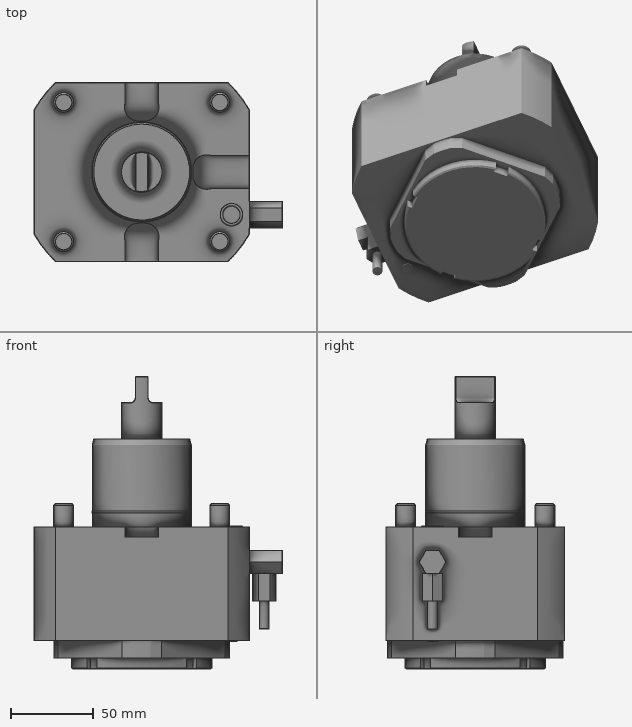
import cadquery as cq
import math


BLOCK_X = 129.9
BLOCK_Y = 108.0
BLOCK_HEIGHT = 68.7
BLOCK_CORNER_RADIUS = 75.0

BOSS_DIAMETER = 59.8
BOSS_HEIGHT = 53.1
BOSS_TAPER_HEIGHT = 3.7
BOSS_TAPER_ANGLE = 15
BOSS_RING_DIAMETER = 60.4
BOSS_RING_HEIGHT = 9.0
RING_SECTION = 1.7

SHAFT_DIAMETER = 24.5
SHAFT_SHOULDER = 75.0
TANG_TOP = 90.9
TANG_THICKNESS = 7.8
TANG_FILLET = 3.0
TANG_CHAMFER = 0.5

SLOT_WIDTH = 20.0
SLOT_DEPTH = 6.2
SLOT_INNER_END = 30.9
SLOT_CORNER_RADIUS = 8.3
SLOT_CORNER_OFFSET = 2.1
SLOT_ANGLES = (-90, 0, 90)

SCREW_DIAMETER = 12.0
SCREW_HEIGHT = 14.1
SCREW_CHAMFER = 1.0
SCREW_X = 47.1
SCREW_Y = 42.0

PORT_X = 54.2
PORT_Y = -25.8
PORT_RING_DIAMETER = 12.0
PORT_RING_RISE = 0.5
PLUG_DIAMETER = 6.4
PLUG_RISE = 0.5

LID_HEIGHT = 10.6
LID_RADIUS = 53.1
LID_FLAT_DISTANCE = 44.1
LID_TRIM_OUTER = 5.5
LID_TRIM_INNER = 12.0

NUT_DIAMETER = 85.0
OVERALL_HEIGHT = 176.5
NUT_BOTTOM = TANG_TOP - OVERALL_HEIGHT
NUT_CHAMFER_HEIGHT = 0.5
NUT_CHAMFER_WIDTH = 1.0
NOTCH_COUNT = 4
NOTCH_START_ANGLE = 45
NOTCH_WIDTH = 8.5
NOTCH_FLOOR = 39.5

FITTING_END_X = BLOCK_X / 2 + 20.0
FITTING_Z = -21.2
FITTING_FLATS = 14.0
UNION_X = 74.0
UNION_CORNERS = 14.1
UNION_LENGTH = 16.6
NOZZLE_DIAMETER = 6.0
NOZZLE_LENGTH = 16.8


def cylinder(diameter, bottom, top):
    """Upright cylinder on the Z axis between two heights."""
    return cq.Workplane("XY").workplane(offset=bottom).circle(diameter / 2).extrude(top - bottom)


def ring(centre_radius, section, height):
    """Round-section ring about the Z axis."""
    return cq.Workplane("XZ").center(centre_radius, height).circle(section / 2).revolve(
        360, (-centre_radius, 0, 0), (-centre_radius, 1, 0)
    )


def make_block():
    """Rectangular block with its corners turned to a common radius."""
    block = cq.Workplane("XY").rect(BLOCK_X, BLOCK_Y).extrude(-BLOCK_HEIGHT)
    return block.intersect(cylinder(2 * BLOCK_CORNER_RADIUS, -BLOCK_HEIGHT, 0))


def make_slot():
    """Cutter for one key slot, open on the +X side, with relieved inner corners."""
    corner_x = SLOT_INNER_END + SLOT_CORNER_RADIUS
    outer_end = BLOCK_X / 2
    channel = (
        cq.Workplane("XY")
        .center((corner_x + outer_end) / 2, 0)
        .rect(outer_end - corner_x, SLOT_WIDTH)
        .extrude(-SLOT_DEPTH)
    )
    end_wall = (
        cq.Workplane("XY")
        .center(SLOT_INNER_END + SLOT_CORNER_RADIUS / 2, 0)
        .rect(SLOT_CORNER_RADIUS, 2 * SLOT_CORNER_OFFSET)
        .extrude(-SLOT_DEPTH)
    )
    corners = (
        cq.Workplane("XY")
        .pushPoints([(corner_x, -SLOT_CORNER_OFFSET), (corner_x, SLOT_CORNER_OFFSET)])
        .circle(SLOT_CORNER_RADIUS)
        .extrude(-SLOT_DEPTH)
    )
    return channel.union(end_wall).union(corners)


def make_boss():
    """Centring boss with a tapered top and a slightly raised sealing ring."""
    taper_width = BOSS_TAPER_HEIGHT * math.tan(math.radians(BOSS_TAPER_ANGLE))
    boss = cylinder(BOSS_DIAMETER, 0, BOSS_HEIGHT)
    boss = boss.faces(">Z").chamfer(BOSS_TAPER_HEIGHT, taper_width)
    return boss.union(ring((BOSS_RING_DIAMETER - RING_SECTION) / 2, RING_SECTION, BOSS_RING_HEIGHT))


def make_shaft():
    """Drive shaft whose end is cut to a flat tang with filleted roots."""
    shaft = cylinder(SHAFT_DIAMETER, BOSS_HEIGHT, TANG_TOP)
    half_tang = TANG_THICKNESS / 2
    side_cut = (
        cq.Workplane("XZ")
        .moveTo(SHAFT_DIAMETER, SHAFT_SHOULDER)
        .lineTo(half_tang + TANG_FILLET, SHAFT_SHOULDER)
        .radiusArc((half_tang, SHAFT_SHOULDER + TANG_FILLET), TANG_FILLET)
        .lineTo(half_tang, TANG_TOP)
        .lineTo(SHAFT_DIAMETER, TANG_TOP)
        .close()
        .extrude(SHAFT_DIAMETER / 2, both=True)
    )
    shaft = shaft.cut(side_cut).cut(side_cut.mirror("YZ"))
    return shaft.faces(">Z").chamfer(TANG_CHAMFER)


def make_port():
    """Coolant port seal standing proud of the mounting face, with the plug below it."""
    seal = ring(PORT_RING_DIAMETER / 2, RING_SECTION, PORT_RING_RISE - RING_SECTION / 2)
    plug = cylinder(PLUG_DIAMETER, -BLOCK_HEIGHT - PLUG_RISE, -BLOCK_HEIGHT)
    return seal.add(plug).combine().translate((PORT_X, PORT_Y, 0))


def make_lid():
    """Bearing lid under the block: one trimmed corner repeated on all four sides."""
    flat_y = LID_FLAT_DISTANCE * math.sqrt(2) - LID_TRIM_INNER
    arc_y = math.sqrt(LID_RADIUS**2 - LID_TRIM_OUTER**2)

    def turned(x, y, quarter):
        angle = math.radians(90 * quarter)
        return (
            x * math.cos(angle) - y * math.sin(angle),
            x * math.sin(angle) + y * math.cos(angle),
        )

    outline = cq.Workplane("XY").workplane(offset=-BLOCK_HEIGHT).moveTo(LID_TRIM_INNER, flat_y)
    for quarter in range(4):
        if quarter:
            outline = outline.lineTo(*turned(LID_TRIM_INNER, flat_y, quarter))
        outline = outline.lineTo(*turned(LID_TRIM_OUTER, arc_y, quarter))
        outline = outline.threePointArc(
            turned(0, LID_RADIUS, quarter), turned(-LID_TRIM_OUTER, arc_y, quarter)
        )
        outline = outline.lineTo(*turned(-LID_TRIM_INNER, flat_y, quarter))
    return outline.close().extrude(-LID_HEIGHT)


def make_nut():
    """Round nut under the lid, with spanner notches on the diagonals."""
    nut_top = -BLOCK_HEIGHT - LID_HEIGHT
    nut = cylinder(NUT_DIAMETER, NUT_BOTTOM, nut_top)
    nut = nut.faces("<Z").chamfer(NUT_CHAMFER_HEIGHT, NUT_CHAMFER_WIDTH)
    notch_depth = NUT_DIAMETER / 2 - NOTCH_FLOOR
    notches = (
        cq.Workplane("XY")
        .workplane(offset=NUT_BOTTOM)
        .polarArray(NOTCH_FLOOR + notch_depth / 2, NOTCH_START_ANGLE, 360, NOTCH_COUNT)
        .rect(notch_depth, NOTCH_WIDTH)
        .extrude(nut_top - NUT_BOTTOM)
    )
    return nut.cut(notches)


def make_fitting():
    """Coolant fitting on the +X side, turning down to a nozzle."""
    level_hexagon = (
        cq.Workplane("YZ")
        .workplane(offset=BLOCK_X / 2)
        .center(PORT_Y, FITTING_Z)
        .polygon(6, FITTING_FLATS / math.cos(math.radians(30)))
        .extrude(FITTING_END_X - BLOCK_X / 2)
    )
    union_top = FITTING_Z - FITTING_FLATS / 2
    upright_hexagon = (
        cq.Workplane("XY")
        .workplane(offset=union_top)
        .center(UNION_X, PORT_Y)
        .polygon(6, UNION_CORNERS)
        .extrude(-UNION_LENGTH)
    )
    nozzle_top = union_top - UNION_LENGTH
    nozzle = cylinder(NOZZLE_DIAMETER, nozzle_top - NOZZLE_LENGTH, nozzle_top)
    nozzle = nozzle.translate((UNION_X, PORT_Y, 0))
    return level_hexagon.union(upright_hexagon).union(nozzle)


def make_screw(x, y):
    """Clamping screw through the full block height, with a chamfered tip above it."""
    screw = cylinder(SCREW_DIAMETER, -BLOCK_HEIGHT, SCREW_HEIGHT).faces(">Z").chamfer(SCREW_CHAMFER)
    return screw.translate((x, y, 0))


def make_housing(screw_places):
    """Housing body with a through hole for each screw."""
    housing = make_block()
    slot = make_slot()
    for angle in SLOT_ANGLES:
        housing = housing.cut(slot.rotate((0, 0, 0), (0, 0, 1), angle))
    for feature in (make_boss(), make_shaft(), make_port(), make_lid(), make_nut(), make_fitting()):
        housing = housing.union(feature)
    screw_hole = cylinder(SCREW_DIAMETER, -BLOCK_HEIGHT, 0)
    for x, y in screw_places:
        housing = housing.cut(screw_hole.translate((x, y, 0)))
    return housing


screw_places = [(x, y) for x in (-SCREW_X, SCREW_X) for y in (-SCREW_Y, SCREW_Y)]

housing = make_housing(screw_places)
screws = [make_screw(x, y) for x, y in screw_places]

result = cq.Compound.makeCompound([housing.val(), *[screw.val() for screw in screws]])